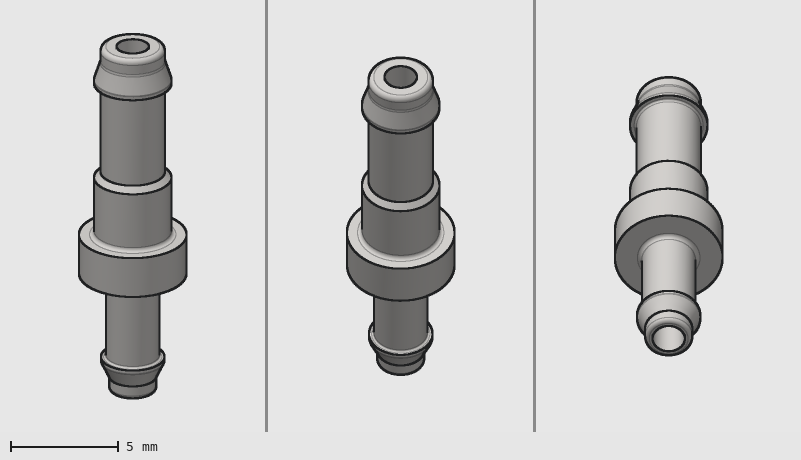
import cadquery as cq

total_length = 17.7
lower_spigot_length = 6.0
flange_thickness = 2.0
flange_bottom = lower_spigot_length
flange_top = flange_bottom + flange_thickness

bore_radius = 1.5 / 2
flange_radius = 5.0 / 2
flange_fillet = 0.2

lower_tip_radius = 2.2 / 2
lower_tube_radius = 2.5 / 2
lower_barb_radius = 2.95 / 2
lower_tip_fillet = 0.2
lower_cone_start = 0.7
lower_barb_length = 1.7
lower_relief_fillet = 0.1

upper_tube_radius = 3.0 / 2
upper_barb_radius = 3.6 / 2
upper_tip_fillet = 0.25
upper_cone_start = 0.78
upper_barb_length = 1.9
upper_cone_fillet = 0.4
upper_relief_fillet = 0.1
shoulder_radius = upper_barb_radius
shoulder_length = 2.95
shoulder_chamfer = shoulder_radius - upper_tube_radius

barb_land = 0.2
barb_edge_fillet = 0.1


def stepped_body():
    """Solid of revolution with every edge still sharp."""
    shoulder_top = flange_top + shoulder_length
    upper_barb_bottom = total_length - upper_barb_length
    profile = [
        (bore_radius, 0),
        (lower_tip_radius, 0),
        (lower_tip_radius, lower_cone_start),
        (lower_barb_radius, lower_barb_length - barb_land),
        (lower_barb_radius, lower_barb_length),
        (lower_tube_radius, lower_barb_length),
        (lower_tube_radius, flange_bottom),
        (flange_radius, flange_bottom),
        (flange_radius, flange_top),
        (shoulder_radius, flange_top),
        (shoulder_radius, shoulder_top),
        (upper_tube_radius, shoulder_top + shoulder_chamfer),
        (upper_tube_radius, upper_barb_bottom),
        (upper_barb_radius, upper_barb_bottom),
        (upper_barb_radius, upper_barb_bottom + barb_land),
        (upper_tube_radius, total_length - upper_cone_start),
        (upper_tube_radius, total_length),
        (bore_radius, total_length),
    ]
    return cq.Workplane("XZ").polyline(profile).close().revolve(360, (0, 0), (0, 1))


def fillet_ring(body, ring_radius, height, fillet_radius):
    """Fillet the circular edge of the given radius lying at the given height."""
    tolerance = 0.01
    reach = ring_radius + tolerance
    ring_zone = cq.selectors.BoxSelector(
        (-reach, -reach, height - tolerance), (reach, reach, height + tolerance), boundingbox=True
    )
    rings = body.edges(ring_zone).filter(lambda edge: abs(edge.radius() - ring_radius) < tolerance)
    return rings.fillet(fillet_radius)


def round_edges(body):
    upper_barb_bottom = total_length - upper_barb_length
    rings = [
        (lower_tip_radius, 0, lower_tip_fillet),
        (lower_barb_radius, lower_barb_length - barb_land, barb_edge_fillet),
        (lower_tube_radius, lower_barb_length, lower_relief_fillet),
        (lower_tube_radius, flange_bottom, flange_fillet),
        (shoulder_radius, flange_top, flange_fillet),
        (upper_tube_radius, upper_barb_bottom, upper_relief_fillet),
        (upper_barb_radius, upper_barb_bottom + barb_land, barb_edge_fillet),
        (upper_tube_radius, total_length - upper_cone_start, upper_cone_fillet),
        (upper_tube_radius, total_length, upper_tip_fillet),
    ]
    for ring_radius, height, fillet_radius in rings:
        body = fillet_ring(body, ring_radius, height, fillet_radius)
    return body


result = round_edges(stepped_body())